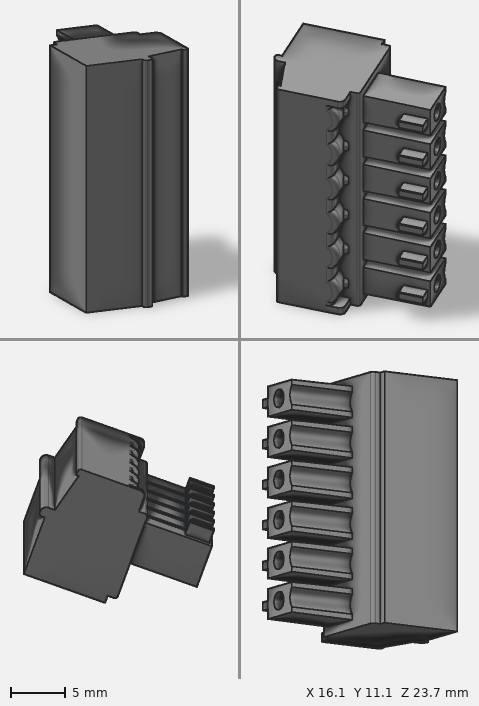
import cadquery as cq
import math

height = 23.65
depth = 11.1
pin_length = 6.62
pole_count = 6
pole_pitch = 3.8

step_x = 7.52
step_bottom_y = 0.7
step_top_y = 9.18
step_fillet = 0.3
rear_x = 15.51
back_fillet = 0.57
lip_x = 14.15
lip_y = 10.43
lip_fillet = 0.28
notch_depth = 0.24
slope_end_x = 14.88
hook_tip_x = 16.1
hook_top_y = 6.67
hook_bottom_y = 5.68
hook_top_fillet = 0.6
hook_bottom_fillet = 0.28

end_plate = 0.73
column_inset = 0.55
column_radius = 1.9
column_width = 2.7

button_radius = 0.55
button_y = 9.08
button_height = 0.35
button_fillet = 0.28

pin_bottom_y = 4.15
pin_top_y = 8.23
pin_tip_height = 2.84
pin_root_height = 2.93
groove_width = 1.87
groove_depth = 0.33
bore_diameter = 1.68
bore_depth = 1.0
bore_y = 6.36

tab_start_x = 0.25
tab_length = 2.4
tab_top_y = 9.53
tab_height = 0.8
tab_chamfer = 0.07

pole_heights = [height / 2 + (i - (pole_count - 1) / 2) * pole_pitch for i in range(pole_count)]
column_axis_x = step_x + column_inset + column_radius
recess_floor_x = column_axis_x - math.sqrt(column_radius**2 - (column_width / 2) ** 2)


def fillet_corner(body, x, y, radius):
    """Round the vertical edge that stands at (x, y)."""
    margin = 0.002
    corner = cq.selectors.BoxSelector((x - margin, y - margin, -height), (x + margin, y + margin, 2 * height))
    return body.edges("|Z").edges(corner).fillet(radius)


def make_housing():
    outline = [
        (step_x, 0),
        (rear_x, 0),
        (rear_x, hook_bottom_y),
        (hook_tip_x, hook_bottom_y),
        (hook_tip_x, hook_top_y),
        (slope_end_x, hook_top_y),
        (lip_x - notch_depth, lip_y),
        (lip_x, lip_y),
        (lip_x, depth),
        (step_x, depth),
        (step_x, step_top_y),
        (pin_length, step_top_y),
        (pin_length, step_bottom_y),
        (step_x, step_bottom_y),
    ]
    housing = cq.Workplane("XY").polyline(outline).close().extrude(height)
    rounded_corners = [
        (hook_tip_x, hook_bottom_y, hook_bottom_fillet),
        (hook_tip_x, hook_top_y, hook_top_fillet),
        (lip_x, depth, lip_fillet),
        (step_x, depth, back_fillet),
        (pin_length, step_top_y, step_fillet),
        (pin_length, step_bottom_y, step_fillet),
    ]
    for x, y, radius in rounded_corners:
        housing = fillet_corner(housing, x, y, radius)
    return housing


def make_recess():
    """Space between the end plates; its floor curves away at the back edge."""
    blend = back_fillet * math.sqrt(0.5)
    centre_x = recess_floor_x + back_fillet
    centre_y = depth - back_fillet
    return (
        cq.Workplane("XY", origin=(0, 0, end_plate))
        .moveTo(pin_length, step_top_y)
        .lineTo(recess_floor_x, step_top_y)
        .lineTo(recess_floor_x, centre_y)
        .threePointArc((centre_x - blend, centre_y + blend), (centre_x, depth))
        .lineTo(pin_length, depth)
        .close()
        .extrude(height - 2 * end_plate)
    )


def make_column(z):
    return (
        cq.Workplane("XZ", origin=(column_axis_x, depth, z))
        .circle(column_radius)
        .extrude(depth - step_top_y)
        .faces(">Y")
        .edges()
        .fillet(back_fillet)
    )


def make_button(z):
    column_x = step_x + column_inset
    button = (
        cq.Workplane("YZ", origin=(column_x - button_height, button_y, z))
        .circle(button_radius)
        .extrude(button_height + column_radius)
    )
    return button.faces("<X").edges().fillet(button_fillet)


def make_pin(z):
    """Tapered pin with a tab on its +Y side, a bore in its tip and a round groove along its -Y side."""
    pin = (
        cq.Workplane("XZ", origin=(0, pin_top_y, z))
        .polyline([
            (0, -pin_tip_height / 2),
            (pin_length, -pin_root_height / 2),
            (pin_length, pin_root_height / 2),
            (0, pin_tip_height / 2),
        ])
        .close()
        .extrude(pin_top_y - pin_bottom_y)
    )
    tab = cq.Workplane("XY", origin=(tab_start_x, pin_top_y, z)).box(
        tab_length, tab_top_y - pin_top_y, tab_height, centered=(False, False, True)
    )
    tab = tab.faces(">Y").edges("|X").chamfer(tab_chamfer)
    pin = pin.union(tab)
    groove_radius = ((groove_width / 2) ** 2 + groove_depth**2) / (2 * groove_depth)
    groove_y = pin_bottom_y + groove_depth - groove_radius
    groove = cq.Workplane("YZ", origin=(0, groove_y, z)).circle(groove_radius).extrude(pin_length)
    bore = cq.Workplane("YZ", origin=(0, bore_y, z)).circle(bore_diameter / 2).extrude(bore_depth)
    return pin.cut(groove).cut(bore)


result = make_housing().cut(make_recess())
for pole_z in pole_heights:
    result = result.union(make_column(pole_z))
    result = result.union(make_button(pole_z))
    result = result.union(make_pin(pole_z))